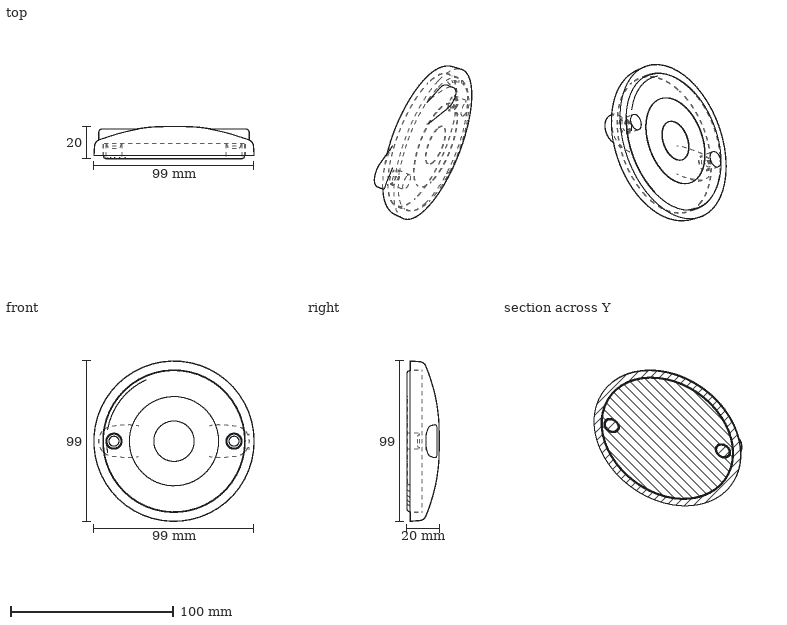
import cadquery as cq
import math

RIM_RADIUS = 49.5
SHOULDER_RADIUS = 48.9
SHOULDER_HEIGHT = 8.5
SHOULDER_FILLET = 4.4
TOP_FLAT_RADIUS = 5.9
CROWN_RADIUS = 22.0
CROWN_HEIGHT = 16.6
DOME_HEIGHT = 17.9

PLATE_RADIUS = 43.6
PLATE_PROUD = 2.1
PLATE_FILLET = 2.0
SEAT_DEPTH = 7.4
SEAT_CLEARANCE = 0.4
PLATE_BOTTOM = -PLATE_PROUD
PLATE_THICKNESS = PLATE_PROUD + SEAT_DEPTH

RING_OUTER_RADIUS = 27.5
RING_INNER_RADIUS = 12.5
RING_DEPTH = 0.4

BOSS_OFFSET = 37.0
BOSS_RADIUS = 9.4
BOSS_HEIGHT = 16.4
BOSS_FILLET = 2.2
BOSS_FLANK_ANGLE = math.radians(5.5)
BOSS_INNER_END = 9.9
BOSS_BASE = SEAT_DEPTH

HOLE_RADIUS = 4.95
PIN_RADIUS = 4.4
PIN_CHAMFER = 1.3
PIN_TIP_HEIGHT = 4.5

SIDES = (1, -1)


def disc(radius, start, height):
    """Cylinder on the Y axis, from Y = start towards +Y."""
    return cq.Workplane("XZ", origin=(0, start, 0)).circle(radius).extrude(-height)


def dome():
    """Solid dome: drafted side, rounded shoulder, and a crown arc tangent to the flat top and the skirt."""
    body = (
        cq.Workplane("XY")
        .moveTo(0, DOME_HEIGHT)
        .lineTo(TOP_FLAT_RADIUS, DOME_HEIGHT)
        .tangentArcPoint((CROWN_RADIUS, CROWN_HEIGHT), relative=False)
        .tangentArcPoint((SHOULDER_RADIUS, SHOULDER_HEIGHT), relative=False)
        .lineTo(RIM_RADIUS, 0)
        .lineTo(0, 0)
        .close()
        .revolve(360, (0, 0, 0), (0, 1, 0))
    )
    return body.faces("%CONE").edges(">Y").fillet(SHOULDER_FILLET)


def boss(side):
    """Round-ended boss on the +X (side = 1) or -X (side = -1) half of the dome."""
    tangent_x = BOSS_OFFSET + BOSS_RADIUS * math.sin(BOSS_FLANK_ANGLE)
    tangent_z = BOSS_RADIUS * math.cos(BOSS_FLANK_ANGLE)
    inner_z = tangent_z + (tangent_x - BOSS_INNER_END) * math.tan(BOSS_FLANK_ANGLE)
    return (
        cq.Workplane("XZ", origin=(0, BOSS_BASE, 0))
        .moveTo(side * BOSS_INNER_END, inner_z)
        .lineTo(side * tangent_x, tangent_z)
        .threePointArc((side * (BOSS_OFFSET + BOSS_RADIUS), 0), (side * tangent_x, -tangent_z))
        .lineTo(side * BOSS_INNER_END, -inner_z)
        .close()
        .extrude(BOSS_BASE - BOSS_HEIGHT)
        .faces(">Y")
        .edges()
        .fillet(BOSS_FILLET)
    )


def locating_pin(side):
    """Chamfered pin that hangs from the seat of the housing, under the boss."""
    return (
        disc(PIN_RADIUS, PIN_TIP_HEIGHT, SEAT_DEPTH - PIN_TIP_HEIGHT)
        .faces("<Y")
        .edges()
        .chamfer(PIN_CHAMFER)
        .translate((side * BOSS_OFFSET, 0, 0))
    )


def plate_hole(side):
    """Cutter for the hole through the plate that clears the locating pin."""
    return disc(HOLE_RADIUS, PLATE_BOTTOM, PLATE_THICKNESS).translate((side * BOSS_OFFSET, 0, 0))


def make_housing():
    body = dome()
    for side in SIDES:
        body = body.union(boss(side))
    body = body.cut(disc(PLATE_RADIUS + SEAT_CLEARANCE, 0, SEAT_DEPTH))
    for side in SIDES:
        body = body.union(locating_pin(side))
    return body


def make_base_plate():
    body = disc(PLATE_RADIUS, PLATE_BOTTOM, PLATE_THICKNESS).faces("<Y").edges().fillet(PLATE_FILLET)
    ring = disc(RING_OUTER_RADIUS, PLATE_BOTTOM, RING_DEPTH).cut(
        disc(RING_INNER_RADIUS, PLATE_BOTTOM, RING_DEPTH)
    )
    body = body.cut(ring)
    for side in SIDES:
        body = body.cut(plate_hole(side))
    return body


housing = make_housing()
base_plate = make_base_plate()

result = cq.Compound.makeCompound([housing.val(), base_plate.val()])